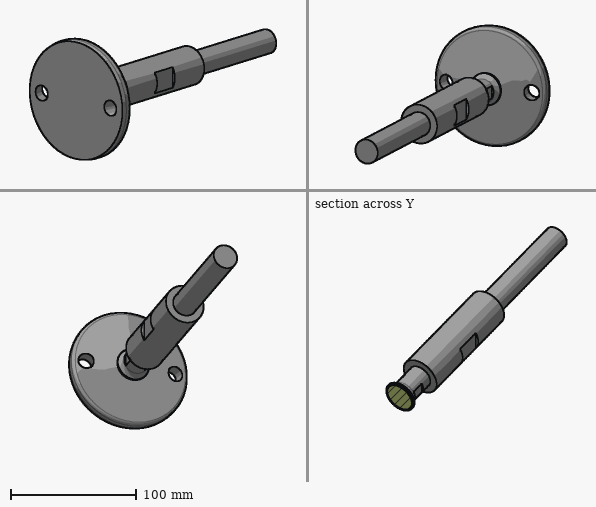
import cadquery as cq
import math

TOTAL_LENGTH = 237.0
ROD_RADIUS = 20.0 / 2

DISC_RADIUS = 98.0 / 2
BASE_RADIUS = 48.3
RIM_LOW_Y = 3.8
RIM_HIGH_Y = 7.3
RIM_FILLET = 2.8
CONE_ANGLE = 10.0
NECK_RADIUS = 12.0

LIP_RADIUS = 26.5 / 2
LIP_LOW_Y = 16.5
LIP_HIGH_Y = 18.2
COLLAR_TOP_Y = 23.7
COLLAR_LAND = 0.5
FLARE_SAG = 0.5

HOLE_DIAMETER = 12.5
HOLE_OFFSET = 35.8
HOLE_LENGTH = 47.5

ROD_FLAT_WIDTH = 17.0
ROD_FLAT_LENGTH = 11.4

SLEEVE_RADIUS = 32.0 / 2
SLEEVE_START_Y = 45.3
SLEEVE_LENGTH = 95.0
SLEEVE_FLAT_WIDTH = 27.0
SLEEVE_FLAT_LENGTH = 22.0


def cylinder_along_y(radius, start_y, length):
    return cq.Workplane("XZ", origin=(0, start_y, 0)).circle(radius).extrude(-length)


def cut_wrench_flats(body, radius, across_flats, start_y, length):
    """Cut two opposite flats facing -X and +X."""
    depth = radius - across_flats / 2
    for side in (-1, 1):
        cutter = cq.Workplane("XY").box(2 * depth, length, 2 * radius)
        x = side * (across_flats / 2 + depth)
        body = body.cut(cutter.translate((x, start_y + length / 2, 0)))
    return body


def make_foot_profile():
    """Revolve the disc and the flared collar about Y."""
    collar_land_y = COLLAR_TOP_Y - COLLAR_LAND
    flare_middle = (
        (LIP_RADIUS + ROD_RADIUS) / 2 - FLARE_SAG,
        (LIP_HIGH_Y + collar_land_y) / 2 - FLARE_SAG,
    )
    cone_angle = math.radians(CONE_ANGLE)
    fillet_centre_radius = DISC_RADIUS - RIM_FILLET

    def fillet_point(angle):
        return (
            fillet_centre_radius + RIM_FILLET * math.cos(angle),
            RIM_HIGH_Y + RIM_FILLET * math.sin(angle),
        )

    cone_normal_angle = math.pi / 2 - cone_angle
    shoulder = fillet_point(cone_normal_angle)
    cone_top_y = shoulder[1] + (shoulder[0] - NECK_RADIUS) * math.tan(cone_angle)
    return (
        cq.Workplane("XY")
        .lineTo(BASE_RADIUS, 0)
        .lineTo(DISC_RADIUS, RIM_LOW_Y)
        .lineTo(DISC_RADIUS, RIM_HIGH_Y)
        .threePointArc(fillet_point(cone_normal_angle / 2), shoulder)
        .lineTo(NECK_RADIUS, cone_top_y)
        .lineTo(NECK_RADIUS, LIP_LOW_Y)
        .lineTo(LIP_RADIUS, LIP_LOW_Y)
        .lineTo(LIP_RADIUS, LIP_HIGH_Y)
        .threePointArc(flare_middle, (ROD_RADIUS, collar_land_y))
        .lineTo(ROD_RADIUS, COLLAR_TOP_Y)
        .lineTo(0, COLLAR_TOP_Y)
        .close()
        .revolve(360, (0, 0, 0), (0, 1, 0))
    )


def drill_mounting_holes(body):
    for side in (-1, 1):
        drill = cylinder_along_y(HOLE_DIAMETER / 2, -HOLE_LENGTH / 2, HOLE_LENGTH)
        drill = drill.rotate((0, 0, 0), (0, 0, 1), -side * CONE_ANGLE)
        body = body.cut(drill.translate((side * HOLE_OFFSET, 0, 0)))
    return body


def make_foot_with_rod():
    rod = cylinder_along_y(ROD_RADIUS, COLLAR_TOP_Y, TOTAL_LENGTH - COLLAR_TOP_Y)
    rod = cut_wrench_flats(rod, ROD_RADIUS, ROD_FLAT_WIDTH, COLLAR_TOP_Y, ROD_FLAT_LENGTH)
    return drill_mounting_holes(make_foot_profile()).union(rod)


def make_sleeve():
    sleeve = cylinder_along_y(SLEEVE_RADIUS, SLEEVE_START_Y, SLEEVE_LENGTH)
    bore = cylinder_along_y(ROD_RADIUS, SLEEVE_START_Y, SLEEVE_LENGTH)
    flat_start_y = SLEEVE_START_Y + (SLEEVE_LENGTH - SLEEVE_FLAT_LENGTH) / 2
    return cut_wrench_flats(
        sleeve.cut(bore), SLEEVE_RADIUS, SLEEVE_FLAT_WIDTH, flat_start_y, SLEEVE_FLAT_LENGTH
    )


foot_with_rod = make_foot_with_rod()
sleeve = make_sleeve()
result = cq.Compound.makeCompound([foot_with_rod.val(), sleeve.val()])